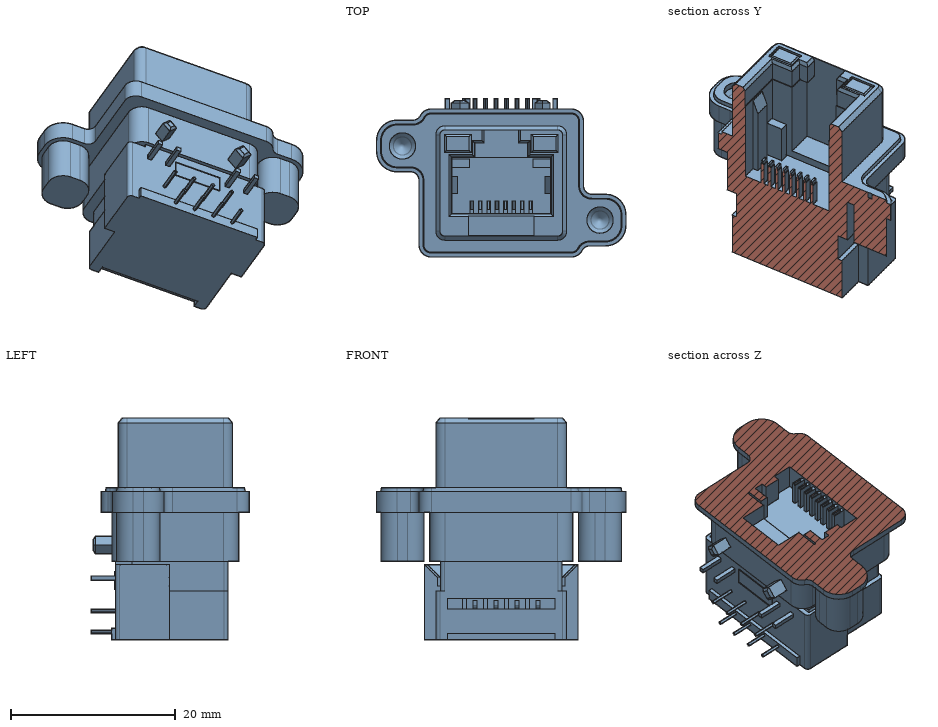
import cadquery as cq
import math


touching = 1e-6

top_z = 26.95
rim_top_z = 18.5
flange_top_z = 18.05
flange_bottom_z = 15.5
shroud_bottom_z = 9.55
clip_top_z = 9.15
base_top_z = 5.95

flange_half_x = 10.0
flange_half_y = 9.0
flange_corner_r = 1.5
rim_foot_inset = 0.5
rim_top_inset = 0.6
ear_x = -12.0
ear_y = 4.5
ear_half = 3.15
ear_corner_r = 2.5
ear_blend_r = 1.0
post_size = 5.25
post_corner_r = 2.0
hole_r = 1.6
hole_depth = 0.8
hole_taper_depth = 0.5
hole_tip_r = 1.1
hole_tip_depth = 0.8

plug_x = 15.9
plug_y = 13.9
plug_corner_r = 1.1
plug_chamfer_height = 0.6
plug_chamfer_width = 0.5
shroud_margin = 0.75

opening_half_x = 6.0
opening_low_y = -3.7
opening_high_y = 3.1
latch_half_x = 3.17
latch_shoulder_y = 4.8
latch_half_width = 2.0
latch_back_y = 6.42
entry_step = 0.08
entry_chamfer = 0.35
entry_chamfer_depth = 0.45
entry_depth = 2.88
cavity_floor_z = 13.0
latch_floor_z = 14.0

key_x = 2.12
key_low_y = 1.86
key_y = 1.07
key_top_z = 18.0
spring_reach = 0.7
spring_low_y = -1.27
spring_y = 2.07
spring_top_z = 23.8
spring_slope_height = 1.8
contact_count = 8
contact_pitch = 1.02
contact_width = 0.45
contact_length = 1.53
contact_height = 3.0
finger_width = 0.26
finger_length = 1.05
finger_height = 0.5

lamp_x = 5.28
lamp_y = 4.8
lamp_size_x = 3.28
lamp_size_y = 2.22
lamp_slope = 0.28
lamp_groove_depth = 0.3
label_x = 8.0
label_low_y = -6.4
label_depth = 0.1

jack_low_y = -6.4
jack_back_y = 7.28
jack_neck_x = 14.76
jack_base_x = 15.9
jack_corner_r = 0.5
neck_relief_y = 5.25
neck_relief = 0.3
clip_x = 18.64
clip_front_y = 0.74
clip_bevel_drop = 1.94
clip_land = 0.35
clip_lead_in = 0.35
clip_ramp_foot_y = 5.3
clip_ramp_top_y = 6.7
clip_gap_x = 0.35
clip_gap_low_z = 6.55
clip_gap_height = 1.1
clip_gap_depth = 1.0
slot_x = 13.0
slot_low_z = 3.75
slot_height = 1.3
slot_depth = 2.5
foot_notch_height = 0.8
foot_notch_depth = 1.0
foot_height = 1.44
foot_back_y = 7.74
pad_x = 6.0
pad_low_z = 6.1
pad_height = 2.2
pad_thickness = 0.1

pin_tip_y = 10.24
pin_count = 8
pin_pitch = 1.28
pin_diagonal = 0.46
pin_row_z = (0.95, 3.52)
leg_width = 0.5
leg_thickness = 0.5
short_leg_drop = 0.25
leg_bend_r = 0.45
lamp_pin_x = (4.05, 6.55)
lamp_pin_z = 7.5
lamp_pin_size = 0.55
peg_x = 5.0
peg_z = 11.52
peg_diagonals = (2.16, 1.86)
peg_tip_y = 10.0
peg_chamfer = 0.3


def box(x0, x1, y0, y1, z0, z1):
    return cq.Workplane("XY").box(x1 - x0, y1 - y0, z1 - z0, centered=False).translate((x0, y0, z0))


def mirrored_x(shape):
    return shape.union(shape.mirror("YZ"))


def ruled_loft(*outlines):
    wires = [outline.wire().val() for outline in outlines]
    return cq.Workplane("XY").add(cq.Solid.makeLoft(wires, True))


def rounded_block(size_x, size_y, radius, z0, z1):
    block = cq.Workplane("XY").workplane(offset=z0).rect(size_x, size_y).extrude(z1 - z0)
    return block.edges("|Z").fillet(radius)


def on_arc(centre, radius, degrees):
    angle = math.radians(degrees)
    return (centre[0] + radius * math.cos(angle), centre[1] + radius * math.sin(angle))


def flange_outline(inset, z):
    """Rectangle with two diagonally opposite rounded ears, shrunk by inset all round."""
    half_y = flange_half_y - inset
    corner_r = flange_corner_r - inset
    ear_r = ear_corner_r - inset
    blend_r = ear_blend_r + inset
    corner = (flange_half_x - flange_corner_r, flange_half_y - flange_corner_r)
    ear_offset = ear_half - ear_corner_r
    ear_high = (ear_x - ear_offset, ear_y + ear_offset)
    ear_low = (ear_x - ear_offset, ear_y - ear_offset)

    high_blend_y = ear_y + ear_half + ear_blend_r
    rise = high_blend_y - corner[1]
    run = math.sqrt((flange_corner_r + ear_blend_r) ** 2 - rise ** 2)
    high_blend = (-corner[0] - run, high_blend_y)
    touch = math.degrees(math.atan2(rise, -run))
    touch_from_blend = touch - 180
    low_blend = (-flange_half_x - ear_blend_r, ear_y - ear_half - ear_blend_r)

    arcs = [
        ((-corner[0], corner[1]), corner_r, 90, touch),
        (high_blend, blend_r, touch_from_blend, -90),
        (ear_high, ear_r, 90, 180),
        (ear_low, ear_r, 180, 270),
        (low_blend, blend_r, 90, 0),
        ((-corner[0], -corner[1]), corner_r, 180, 270),
    ]
    position = (corner[0], half_y)
    outline = cq.Workplane("XY").workplane(offset=z).moveTo(*position)
    for turn in (1, -1):
        for centre, radius, start, end in arcs:
            points = [on_arc(centre, radius, angle) for angle in (start, (start + end) / 2, end)]
            first, middle, last = [(turn * x, turn * y) for x, y in points]
            if math.dist(position, first) > touching:
                outline = outline.lineTo(*first)
            outline = outline.threePointArc(middle, last)
            position = last
    return outline.close()


def mounting_hole():
    """Blind hole with a taper and a flatter conical tip at its bottom."""
    taper_z = rim_top_z - hole_depth
    tip_z = taper_z - hole_taper_depth
    profile = cq.Workplane("XZ").moveTo(0, rim_top_z).lineTo(hole_r, rim_top_z)
    profile = profile.lineTo(hole_r, taper_z).lineTo(hole_tip_r, tip_z)
    profile = profile.lineTo(0, tip_z - hole_tip_depth).close()
    return profile.revolve(360, (0, 0, 0), (0, 1, 0))


def flange():
    plate = flange_outline(0, flange_bottom_z).extrude(flange_top_z - flange_bottom_z)
    rim = ruled_loft(
        flange_outline(rim_foot_inset, flange_top_z), flange_outline(rim_top_inset, rim_top_z)
    )
    plate = plate.union(rim)
    for turn in (1, -1):
        place = (turn * ear_x, turn * ear_y, 0)
        post = rounded_block(post_size, post_size, post_corner_r, shroud_bottom_z, flange_bottom_z)
        plate = plate.union(post.translate(place)).cut(mounting_hole().translate(place))
    return plate


def plug_and_shroud():
    plug = rounded_block(plug_x, plug_y, plug_corner_r, flange_bottom_z, top_z)
    plug = plug.faces(">Z").chamfer(plug_chamfer_height, plug_chamfer_width)
    shroud = rounded_block(
        plug_x + 2 * shroud_margin,
        plug_y + 2 * shroud_margin,
        plug_corner_r + shroud_margin,
        shroud_bottom_z,
        flange_bottom_z,
    )
    return plug.union(shroud)


def opening_outline(margin, z):
    """Stepped T outline of the opening at height z, widened by margin on all but the latch's back."""
    half_x = opening_half_x + margin
    step_y = opening_high_y + margin
    half_latch = latch_half_x + margin
    shoulder_y = latch_shoulder_y + margin
    half_slot = latch_half_width + margin
    right = [
        (half_x, opening_low_y - margin),
        (half_x, step_y),
        (half_latch, step_y),
        (half_latch, shoulder_y),
        (half_slot, shoulder_y),
        (half_slot, latch_back_y),
    ]
    left = [(-x, y) for x, y in reversed(right)]
    return cq.Workplane("XY").workplane(offset=z).polyline(right + left).close()


def opening():
    entry_z = top_z - entry_depth
    chamfer_z = top_z - entry_chamfer_depth
    entry = opening_outline(entry_step, entry_z).extrude(chamfer_z - entry_z)
    chamfer = ruled_loft(opening_outline(entry_step, chamfer_z), opening_outline(entry_chamfer, top_z))
    cavity = box(
        -opening_half_x, opening_half_x, opening_low_y, opening_high_y, cavity_floor_z, entry_z
    )
    latch = box(-latch_half_x, latch_half_x, 0, latch_back_y, latch_floor_z, entry_z)
    return entry.union(chamfer).union(cavity).union(latch)


def opening_details():
    """Key blocks, side springs and contacts that stand on the floor of the opening."""
    key = box(
        opening_half_x - key_x, opening_half_x, key_low_y, key_low_y + key_y, cavity_floor_z, key_top_z
    )
    spring = (
        cq.Workplane("XZ", origin=(0, spring_low_y, 0))
        .moveTo(opening_half_x, cavity_floor_z)
        .lineTo(opening_half_x, spring_top_z)
        .lineTo(opening_half_x - spring_reach, spring_top_z - spring_slope_height)
        .lineTo(opening_half_x - spring_reach, cavity_floor_z)
        .close()
        .extrude(-spring_y)
    )
    details = mirrored_x(key.union(spring))
    contact_top_z = cavity_floor_z + contact_height
    contact_end_y = opening_low_y + contact_length
    for i in range(contact_count):
        x = (i - (contact_count - 1) / 2) * contact_pitch
        contact = box(
            x - contact_width / 2, x + contact_width / 2,
            opening_low_y, contact_end_y, cavity_floor_z, contact_top_z,
        )
        finger = box(
            x - finger_width / 2, x + finger_width / 2,
            contact_end_y - finger_length, contact_end_y, contact_top_z, contact_top_z + finger_height,
        )
        details = details.union(contact).union(finger)
    return details


def face_marks():
    """Groove around each slope-sided lamp window and the shallow label field."""
    groove_z = top_z - lamp_groove_depth
    foot = cq.Workplane("XY", origin=(lamp_x, lamp_y, groove_z)).rect(lamp_size_x, lamp_size_y)
    window = cq.Workplane("XY", origin=(lamp_x, lamp_y, top_z)).rect(
        lamp_size_x - 2 * lamp_slope, lamp_size_y - 2 * lamp_slope
    )
    frame = foot.extrude(lamp_groove_depth).cut(ruled_loft(foot, window))
    label = box(
        -label_x / 2, label_x / 2, label_low_y, opening_low_y, top_z - label_depth, top_z
    )
    return mirrored_x(frame).union(label)


def side_clip():
    """Wing on the +X side of the jack.

    Its top slopes down towards the jack, from a narrow land along the outer edge. The slope
    drops a little further at the front and ends in a ramp at the back.
    """
    outer_x = clip_x / 2
    neck_x = jack_neck_x / 2
    clip = box(0, outer_x, clip_front_y, jack_back_y, 0, clip_top_z)
    clip = clip.edges("|Z and >X and >Y").fillet(jack_corner_r)
    low_z = clip_top_z - clip_bevel_drop
    sections = []
    for land, high_y, low_y in (
        (0, clip_front_y, clip_front_y),
        (clip_land, clip_front_y + clip_lead_in, clip_front_y + clip_lead_in),
        (clip_land, clip_ramp_top_y, clip_ramp_foot_y),
    ):
        rise = land * clip_bevel_drop / (outer_x - neck_x)
        corners = [
            (outer_x - land, high_y, clip_top_z),
            (neck_x, high_y, clip_top_z),
            (neck_x, low_y, low_z + rise),
        ]
        sections.append(cq.Workplane("XY").polyline(corners).close())
    bevel = ruled_loft(*sections)
    gap = box(
        neck_x, neck_x + clip_gap_x, clip_front_y, clip_front_y + clip_gap_depth,
        clip_gap_low_z, clip_gap_low_z + clip_gap_height,
    )
    return clip.cut(bevel).cut(gap)


def jack_block(size_x, z1):
    block = box(-size_x / 2, size_x / 2, jack_low_y, jack_back_y, 0, z1)
    return block.edges("|Z and <Y").fillet(jack_corner_r)


def jack():
    neck = jack_block(jack_neck_x, shroud_bottom_z)
    relief = box(
        jack_neck_x / 2 - neck_relief, jack_neck_x / 2, neck_relief_y, jack_back_y,
        clip_top_z, shroud_bottom_z,
    )
    body = neck.cut(mirrored_x(relief)).union(jack_block(jack_base_x, base_top_z))
    body = body.union(mirrored_x(side_clip()))
    half_slot = slot_x / 2
    slot_back_y = jack_low_y + slot_depth
    body = body.cut(
        box(-half_slot, half_slot, jack_low_y, slot_back_y, slot_low_z, slot_low_z + slot_height)
    )
    body = body.cut(
        box(-half_slot, half_slot, jack_low_y, jack_low_y + foot_notch_depth, 0, foot_notch_height)
    )
    foot = box(-jack_base_x / 2, jack_base_x / 2, jack_back_y, foot_back_y, 0, foot_height)
    pad = box(
        -pad_x / 2, pad_x / 2, jack_back_y, jack_back_y + pad_thickness,
        pad_low_z, pad_low_z + pad_height,
    )
    return body.union(foot).union(pad)


def diamond_bar(diagonal, x, z, y0, y1):
    """Square bar along Y standing on its edge."""
    return cq.Workplane("XZ", origin=(x, y0, z)).polygon(4, diagonal).extrude(y0 - y1)


def pins():
    """Signal pins in two alternating rows, with their legs in the slot, and the lamp pins."""
    group = cq.Workplane("XY")
    slot_back_y = jack_low_y + slot_depth
    for i in range(pin_count):
        x = (i - (pin_count - 1) / 2) * pin_pitch
        row = i % 2
        group = group.union(
            diamond_bar(pin_diagonal, x, pin_row_z[row], jack_back_y, pin_tip_y)
        )
        leg_top_z = slot_low_z + slot_height - row * short_leg_drop
        leg = box(
            x - leg_width / 2, x + leg_width / 2,
            slot_back_y - leg_thickness, slot_back_y, slot_low_z, leg_top_z,
        )
        if row == 1:
            leg = leg.edges("<Y and <Z").fillet(leg_bend_r)
        group = group.union(leg)
    half = lamp_pin_size / 2
    for x in lamp_pin_x:
        pin = box(x - half, x + half, jack_back_y, pin_tip_y, lamp_pin_z - half, lamp_pin_z + half)
        group = group.union(mirrored_x(pin))
    return group


def pegs():
    """Board pegs of two sizes with chamfered tips."""
    group = cq.Workplane("XY")
    for side, diagonal in zip((-1, 1), peg_diagonals):
        peg = diamond_bar(diagonal, side * peg_x, peg_z, plug_y / 2, peg_tip_y)
        group = group.union(peg.faces(">Y").chamfer(peg_chamfer))
    return group


result = plug_and_shroud().union(flange()).union(jack())
result = result.cut(opening()).cut(face_marks())
result = result.union(opening_details()).union(pins()).union(pegs())